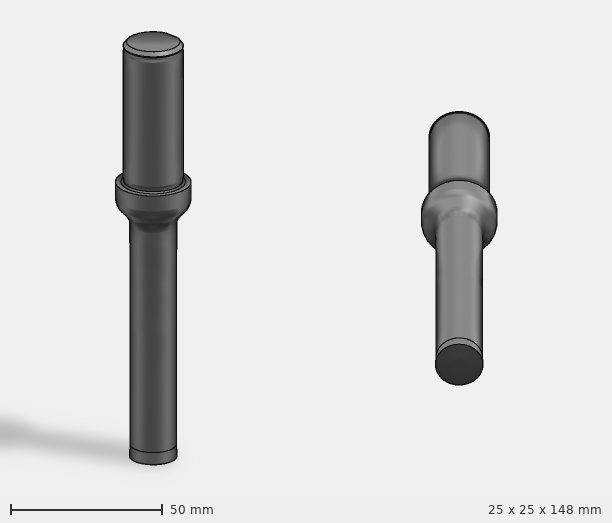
import cadquery as cq

total_height = 148.0
point_edge_z = 0.5
head_edge_z = 0.9
head_top_z = 4.7
body_step_z = 46.6
body_neck_z = 77.7
flare_bottom_z = 83.0
collar_bottom_z = 92.5
collar_top_z = 98.1

point_flat_radius = 2.8
head_radius = 15.7 / 2
body_radius = 15.4 / 2
upper_body_radius = 15.5 / 2
collar_radius = 25.0 / 2
shank_radius = 20.0 / 2
neck_radius = 19.5 / 2

neck_top_z = 99.5
neck_chamfer = 0.7
top_chamfer_radial = 1.2
top_chamfer_height = 1.3
groove_top_z = total_height - 1.8
groove_bottom_z = total_height - 2.7
groove_cone_height = 0.9
flat_offset = 8.3
flat_end_z = 102.9

foot_radius = 10.7
foot_height = 0.5


def make_cutting_head():
    """Head that widens slightly downward and ends in a shallow, flat-tipped cone."""
    profile = (
        cq.Workplane("XZ")
        .moveTo(0, 0)
        .lineTo(point_flat_radius, 0)
        .lineTo(head_radius, point_edge_z)
        .lineTo(head_radius, head_edge_z)
        .lineTo(body_radius, head_top_z)
        .lineTo(0, head_top_z)
        .close()
    )
    return profile.revolve(360, (0, 0, 0), (0, 1, 0))


def make_holder_blank():
    """Turned holder: drill body, S-shaped flare, collar, neck and shank."""
    flare_middle = (
        (upper_body_radius + collar_radius) / 2,
        (flare_bottom_z + collar_bottom_z) / 2,
    )
    profile = (
        cq.Workplane("XZ")
        .moveTo(0, head_top_z)
        .lineTo(body_radius, head_top_z)
        .lineTo(body_radius, body_step_z)
        .lineTo(upper_body_radius, body_neck_z)
        .lineTo(upper_body_radius, flare_bottom_z)
        .spline(
            [flare_middle, (collar_radius, collar_bottom_z)],
            tangents=[(0, 1), (0, 1)],
            includeCurrent=True,
        )
        .lineTo(collar_radius, collar_top_z)
        .lineTo(foot_radius, collar_top_z)
        .lineTo(neck_radius, collar_top_z + foot_height)
        .lineTo(neck_radius, neck_top_z)
        .lineTo(shank_radius, neck_top_z + neck_chamfer)
        .lineTo(shank_radius, groove_bottom_z - groove_cone_height)
        .lineTo(neck_radius, groove_bottom_z)
        .lineTo(neck_radius, groove_top_z)
        .lineTo(shank_radius, total_height - top_chamfer_height)
        .lineTo(shank_radius - top_chamfer_radial, total_height)
        .lineTo(0, total_height)
        .close()
    )
    return profile.revolve(360, (0, 0, 0), (0, 1, 0))


def make_flat_cutter():
    """Cutter for the clamping flat on the +Y side, with a 45 degree run-out."""
    cut_depth = shank_radius - flat_offset
    return (
        cq.Workplane("YZ")
        .moveTo(flat_offset, total_height)
        .lineTo(flat_offset, flat_end_z)
        .lineTo(flat_offset + cut_depth, flat_end_z - cut_depth)
        .lineTo(flat_offset + cut_depth, total_height)
        .close()
        .extrude(shank_radius, both=True)
    )


cutting_head = make_cutting_head()
holder = make_holder_blank().cut(make_flat_cutter())

result = cq.Compound.makeCompound([cutting_head.val(), holder.val()])